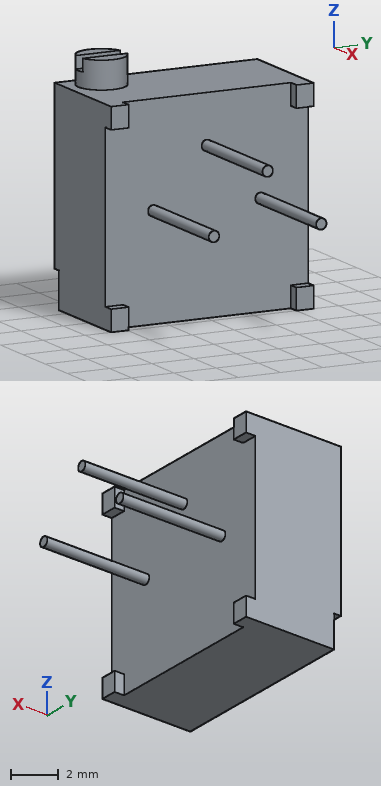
import cadquery as cq

total_height = 11.0
total_depth = 10.1
body_width = 9.6
body_depth = 5.12
body_height = 9.71

step_depth = 0.37
step_height = 1.7

foot_depth = 0.51
foot_width = 0.82
foot_height = 1.0

screw_diameter = 2.2
screw_x = 1.2
screw_y = -3.2
slot_width = 0.62
slot_depth = 0.58

pin_diameter = 0.5
pin_pitch = 2.54
outer_pin_z = 4.9

base_x = body_depth - foot_depth
screw_height = total_height - body_height
pin_length = total_depth - base_x


def floor_box(depth, width, height):
    """Box from X = 0 and Z = 0, centred on Y."""
    return cq.Workplane("XY").box(depth, width, height, centered=(False, True, False))


def make_housing():
    body = floor_box(body_depth, body_width, body_height)
    step = floor_box(step_depth, body_width, step_height)

    upright_channel = floor_box(foot_depth, body_width - 2 * foot_width, body_height)
    level_channel = floor_box(foot_depth, body_width, body_height - 2 * foot_height)
    body = body.cut(step)
    body = body.cut(upright_channel.translate((base_x, 0, 0)))
    return body.cut(level_channel.translate((base_x, 0, foot_height)))


def make_screw():
    screw = cq.Workplane("XY").circle(screw_diameter / 2).extrude(screw_height)
    slot = (
        cq.Workplane("XY")
        .workplane(offset=screw_height - slot_depth)
        .rect(slot_width, screw_diameter)
        .extrude(slot_depth)
    )
    return screw.cut(slot).translate((screw_x, screw_y, body_height))


def make_pin(y, z):
    pin = cq.Workplane("YZ").circle(pin_diameter / 2).extrude(pin_length)
    return pin.translate((base_x, y, z))


result = make_housing().union(make_screw())
pin_places = [
    (-pin_pitch, outer_pin_z),
    (0, outer_pin_z + pin_pitch),
    (pin_pitch, outer_pin_z),
]
for pin_y, pin_z in pin_places:
    result = result.union(make_pin(pin_y, pin_z))